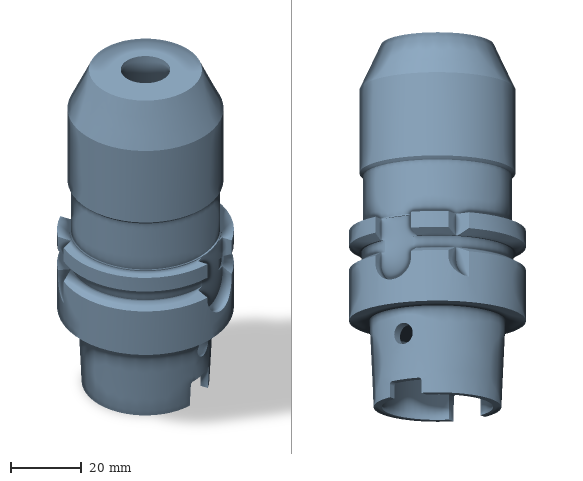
import cadquery as cq

total_height = 105.0

shank_height = 25.0
shank_tip_radius = 18.1
shank_root_radius = 19.2
shank_bore_radius = 15.8
shank_bore_depth = 21.9

flange_radius = 25.0
flange_top = 51.0
groove_root_radius = 21.5
groove_shoulder_radius = 22.2
groove_lower_edge = 39.7
groove_root_bottom = 41.3
groove_root_top = 44.7
groove_upper_edge = 46.4

seat_radius = 21.5
seat_height = 0.3
neck_radius = 21.1
head_radius = 22.0
head_bottom = 66.9
head_chamfer = head_radius - neck_radius
nose_base = 92.0
nose_tip_radius = 16.0
tool_bore_radius = 6.98
tool_bore_depth = 47.2

keyway_floor = 21.0
keyway_bottom = 32.0
left_keyway_width = 11.8
right_keyway_width = 14.0
notch_inset = 15.4
notch_cutter_radius = 6.0

drive_slot_width = 10.4
left_slot_depth = 4.4
right_slot_depth = 7.9
drive_slot_corner_radius = 0.8
cross_hole_radius = 3.0
cross_hole_height = 17.5


def turned_body():
    """Revolve the outer profile about Z."""
    profile = [
        (0, 0),
        (shank_tip_radius, 0),
        (shank_root_radius, shank_height),
        (flange_radius, shank_height),
        (flange_radius, groove_lower_edge),
        (groove_shoulder_radius, groove_root_bottom),
        (groove_root_radius, groove_root_bottom),
        (groove_root_radius, groove_root_top),
        (groove_shoulder_radius, groove_root_top),
        (flange_radius, groove_upper_edge),
        (flange_radius, flange_top),
        (seat_radius, flange_top),
        (seat_radius, flange_top + seat_height),
        (neck_radius, flange_top + seat_height),
        (neck_radius, head_bottom),
        (head_radius, head_bottom + head_chamfer),
        (head_radius, nose_base),
        (nose_tip_radius, total_height),
        (0, total_height),
    ]
    return cq.Workplane("XZ").polyline(profile).close().revolve(360, (0, 0), (0, 1))


def vertical_cylinder(radius, bottom, height):
    return cq.Workplane("XY").workplane(offset=bottom).circle(radius).extrude(height)


def round_bottom_slot(center_y, radius, x_start, length):
    """Cutter running along X: open at the flange top, full round at the keyway bottom."""
    axis_height = keyway_bottom + radius
    return (
        cq.Workplane("YZ", origin=(x_start, center_y, 0))
        .moveTo(-radius, flange_top)
        .lineTo(-radius, axis_height)
        .threePointArc((0, keyway_bottom), (radius, axis_height))
        .lineTo(radius, flange_top)
        .close()
        .extrude(length)
    )


def drive_slot(side, depth):
    """Slot across one wall of the shank, on the side given by the sign of X."""
    return (
        cq.Workplane("XY")
        .box(shank_root_radius, drive_slot_width, depth, centered=(True, True, False))
        .edges("|X and >Z")
        .fillet(drive_slot_corner_radius)
        .translate((side * shank_root_radius / 2, 0, 0))
    )


result = turned_body()

result = result.cut(vertical_cylinder(shank_bore_radius, 0, shank_bore_depth))
result = result.cut(vertical_cylinder(tool_bore_radius, total_height - tool_bore_depth, tool_bore_depth))

result = result.cut(round_bottom_slot(0, left_keyway_width / 2, -keyway_floor, -flange_radius))
result = result.cut(round_bottom_slot(0, right_keyway_width / 2, keyway_floor, flange_radius))
notch_center_y = -notch_inset - notch_cutter_radius
result = result.cut(round_bottom_slot(notch_center_y, notch_cutter_radius, -notch_inset, -flange_radius))

result = result.cut(drive_slot(-1, left_slot_depth))
result = result.cut(drive_slot(1, right_slot_depth))
cross_hole = (
    cq.Workplane("YZ")
    .center(0, cross_hole_height)
    .circle(cross_hole_radius)
    .extrude(shank_root_radius, both=True)
)
result = result.cut(cross_hole)